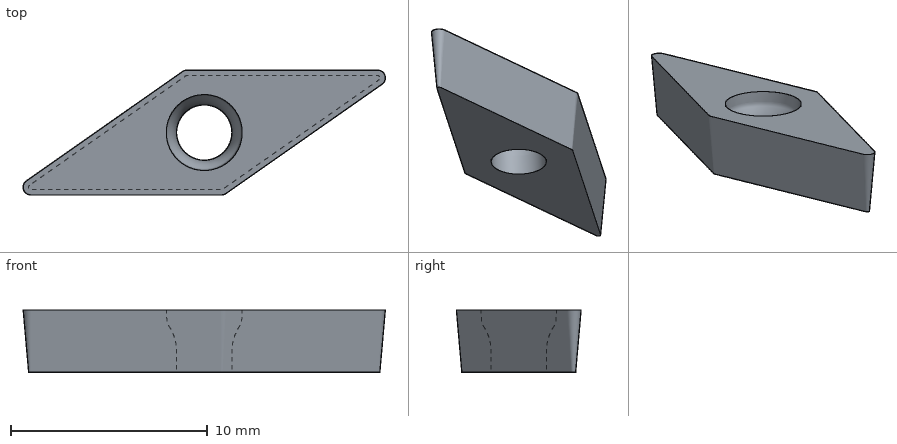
import cadquery as cq
import math

inscribed_circle = 6.35
acute_angle = math.radians(35)
nose_radius = 0.398
thickness = 3.175
relief_angle = 5

bore_diameter = 2.8
mouth_diameter = 3.86
mouth_depth = 0.55
mouth_taper = math.radians(3)
blend_radius = 0.45
throat_radius = 2.4


def rhombus_corners():
    """Sharp corners of the rhombus, two sides parallel to X, centred on the origin."""
    side = inscribed_circle / math.sin(acute_angle)
    half_height = inscribed_circle / 2
    long_x = side * (1 + math.cos(acute_angle)) / 2
    short_x = side * (1 - math.cos(acute_angle)) / 2
    return [
        (long_x, half_height),
        (-short_x, half_height),
        (-long_x, -half_height),
        (short_x, -half_height),
    ]


def make_body():
    """Plate with its full outline on top, narrowing downwards on every flank."""
    outline = cq.Sketch().polygon(rhombus_corners() + rhombus_corners()[:1])
    outline = outline.vertices().fillet(nose_radius)
    return (
        cq.Workplane("XY")
        .placeSketch(outline)
        .extrude(-thickness, taper=relief_angle)
        .translate((0, 0, thickness))
    )


def make_hole():
    """Revolved cutter whose two arcs are tangent to each other, to the mouth and to the bore."""
    bore_radius = bore_diameter / 2
    mouth_radius = mouth_diameter / 2
    mouth_end_radius = mouth_radius - mouth_depth * math.tan(mouth_taper)
    centre_distance = blend_radius + throat_radius

    blend_x = mouth_end_radius - blend_radius * math.cos(mouth_taper)
    blend_z = thickness - mouth_depth + blend_radius * math.sin(mouth_taper)
    throat_x = bore_radius + throat_radius
    widest_angle = math.acos((throat_x - blend_x) / centre_distance)
    throat_z = blend_z - centre_distance * math.sin(widest_angle)

    def blend_point(angle):
        return (blend_x + blend_radius * math.cos(angle), blend_z - blend_radius * math.sin(angle))

    def throat_point(angle):
        return (throat_x - throat_radius * math.cos(angle), throat_z + throat_radius * math.sin(angle))

    return (
        cq.Workplane("XZ")
        .lineTo(bore_radius, 0)
        .lineTo(bore_radius, throat_z)
        .threePointArc(throat_point(widest_angle / 2), throat_point(widest_angle))
        .threePointArc(blend_point((widest_angle + mouth_taper) / 2), blend_point(mouth_taper))
        .lineTo(mouth_radius, thickness)
        .lineTo(0, thickness)
        .close()
        .revolve(360, (0, 0, 0), (0, 1, 0))
    )


result = make_body().cut(make_hole())